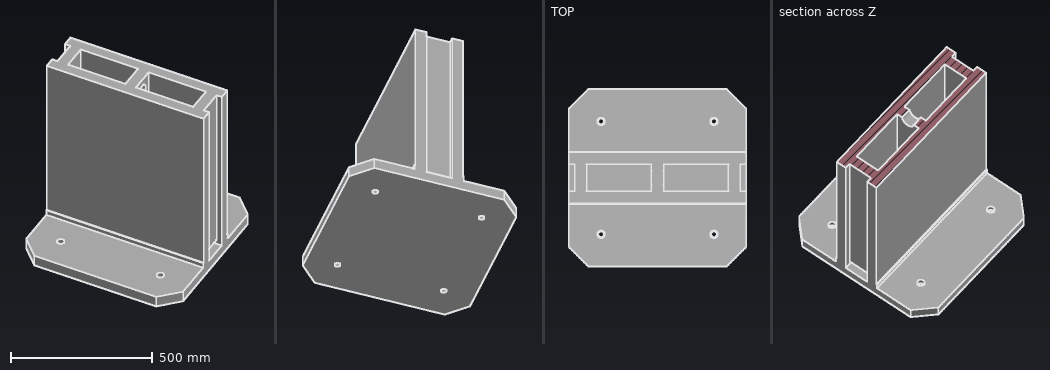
import cadquery as cq

plate_side = 630.0
plate_thickness = 44.0
corner_chamfer = 70.0
bolt_spacing = 400.0
bolt_diameter = 20.0
bolt_recess_diameter = 27.0
bolt_recess_depth = plate_thickness / 2

total_height = 725.0
wall_thickness = 180.0
collar_thickness = 185.5
collar_height = 21.0

cavity_length = 230.0
cavity_width = 96.0
web_thickness = 43.0
groove_depth = (plate_side - 2 * cavity_length - 3 * web_thickness) / 2
drain_height = 17.5

passage_diameter = 50.0
passage_drop = 52.0

wall_height = total_height - plate_thickness
cavity_offset = (cavity_length + web_thickness) / 2


def block(length, width, height, x=0):
    """Box standing on the top of the plate, centred on x and the X axis."""
    return (
        cq.Workplane("XY", origin=(x, 0, plate_thickness))
        .box(length, width, height, centered=(True, True, False))
    )


def base_plate():
    """Square plate with cut corners and four bolt holes."""
    return (
        cq.Workplane("XY")
        .box(plate_side, plate_side, plate_thickness, centered=(True, True, False))
        .edges("|Z")
        .chamfer(corner_chamfer)
        .faces(">Z")
        .workplane()
        .rect(bolt_spacing, bolt_spacing, forConstruction=True)
        .vertices()
        .cboreHole(bolt_diameter, bolt_recess_diameter, bolt_recess_depth)
    )


def hollow_wall():
    """Wall with two open cavities, end grooves and drains under the end webs."""
    wall = block(plate_side, wall_thickness, wall_height)
    wall = wall.union(block(plate_side, collar_thickness, collar_height))
    end_length = (plate_side - web_thickness) / 2 - cavity_length
    for side in (-1, 1):
        wall = wall.cut(block(cavity_length, cavity_width, wall_height, side * cavity_offset))
        groove_x = side * (plate_side - groove_depth) / 2
        wall = wall.cut(block(groove_depth, cavity_width, wall_height, groove_x))
        drain_x = side * (plate_side - end_length) / 2
        wall = wall.cut(block(end_length, cavity_width, drain_height, drain_x))
    passage = (
        cq.Workplane("YZ", origin=(-web_thickness / 2, 0, total_height - passage_drop))
        .circle(passage_diameter / 2)
        .extrude(web_thickness)
    )
    return wall.cut(passage)


result = base_plate().union(hollow_wall())